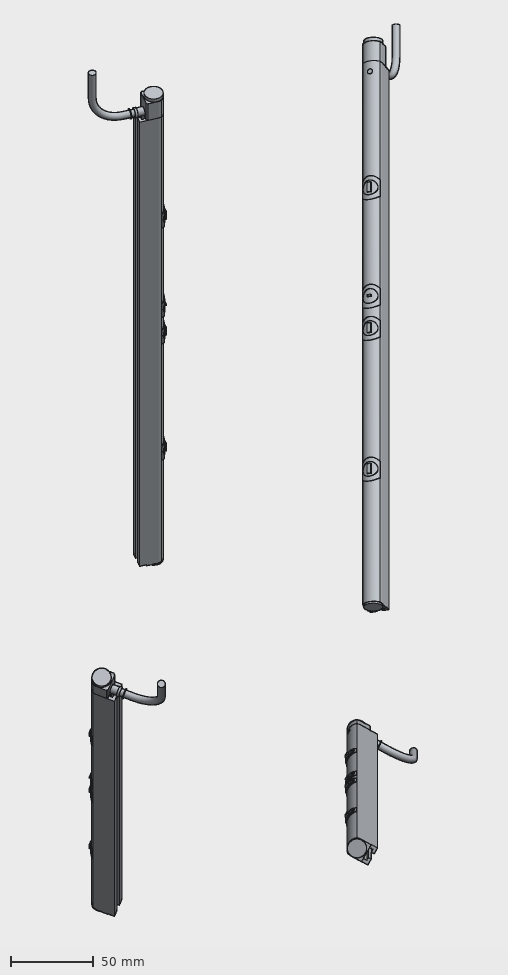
import cadquery as cq
import math

half_width = 6.0
back_y = 23.0
dome_edge_half = 5.5
dome_depth = 3.0
shoulder_depth = 4.5
core_depth = 12.5
rail_depth = 17.0
slot_width = 3.5
lip_thickness = 2.0
cavity_width = 7.5
cap_chamfer = 1.0

end_radius = 5.85
end_center_depth = 6.0

plug_round_top = 1.2
rail_bottom = 2.0
rail_top = 359.5
cap_block_top = 372.8
cap_top = 375.2
total_height = 402.0

ridge_length = 6.5
short_ridge_length = 1.2
buttons = [
    (89.0, ridge_length),
    (182.0, ridge_length),
    (203.5, short_ridge_length),
    (275.5, ridge_length),
]
pad_radius = 7.85
pad_rise = 0.5
boss_radius = 5.0
boss_rise = 1.0
ridge_rise = 1.5
ridge_width = 2.5

mark_z = 352.5
floor_hole_radius = 2.5
floor_hole_depth = 2.0
dome_recess_radius = 1.5
dome_recess_depth = 0.5

cable_radius = 2.5
outlet_z = 362.5
boot_radius = 3.0
flange_radius = 3.2
flange_thickness = 1.5
disc_thickness = 0.5
disc_gap = 2.5
bend_radius = 19.5
cable_end_y = back_y - 45.0

core_front = back_y - core_depth
rail_front = back_y - rail_depth


def section(front_y, crown_y=back_y):
    """Outline of the bar seen along Z, with its dome raised to crown_y."""
    rise = crown_y - back_y
    dome_edge_y = back_y - dome_depth + rise
    shoulder_y = back_y - shoulder_depth
    return (
        cq.Workplane("XY")
        .moveTo(-dome_edge_half, dome_edge_y)
        .threePointArc((0, crown_y), (dome_edge_half, dome_edge_y))
        .lineTo(half_width, shoulder_y)
        .lineTo(half_width, front_y)
        .lineTo(-half_width, front_y)
        .lineTo(-half_width, shoulder_y)
        .close()
    )


def prism(front_y, bottom, top, crown_y=back_y):
    """Length of the bar section between two heights."""
    return section(front_y, crown_y).extrude(top - bottom).translate((0, 0, bottom))


def round_end(bottom, top):
    """Round boss on either end of the core."""
    return (
        cq.Workplane("XY", origin=(0, back_y - end_center_depth, bottom))
        .circle(end_radius)
        .extrude(top - bottom)
    )


def raised_disc(radius, rise, height):
    """Round pad on the back that follows the dome."""
    return (
        cq.Workplane("XZ", origin=(0, back_y + rise, height))
        .circle(radius)
        .extrude(dome_depth + rise)
        .intersect(prism(core_front, height - radius, height + radius, back_y + rise))
    )


def button(height, length):
    """Two stacked round pads crossed by an upright ridge."""
    ridge = cq.Workplane("XY").box(ridge_width, 2 * ridge_rise, length).translate((0, back_y, height))
    pads = raised_disc(pad_radius, pad_rise, height).union(raised_disc(boss_radius, boss_rise, height))
    return pads.union(ridge)


def slot_cutter():
    """T-shaped slot along the front, open at both ends."""
    length = rail_top - rail_bottom
    depth = rail_depth - core_depth
    mouth = cq.Workplane("XY").box(slot_width, depth, length, centered=(True, False, False))
    cavity = (
        cq.Workplane("XY")
        .box(cavity_width, depth - lip_thickness, length, centered=(True, False, False))
        .translate((0, lip_thickness, 0))
    )
    return mouth.union(cavity).translate((0, rail_front, rail_bottom))


def floor_hole():
    """Blind hole in the slot floor."""
    return (
        cq.Workplane("XZ", origin=(0, core_front + floor_hole_depth, mark_z))
        .circle(floor_hole_radius)
        .extrude(floor_hole_depth)
    )


def dome_recess():
    """Shallow recess in the back, behind the blind hole."""
    return (
        cq.Workplane("XZ", origin=(0, back_y, mark_z)).circle(dome_recess_radius).extrude(dome_recess_depth)
    )


def make_rail():
    """Slotted rail with its round bottom end and the buttons on its back."""
    rail = prism(rail_front, rail_bottom, rail_top).cut(slot_cutter()).cut(floor_hole())
    rail = rail.union(prism(core_front, plug_round_top, rail_bottom))
    rail = rail.union(round_end(0, plug_round_top))
    rail = rail.cut(dome_recess())
    for height, length in buttons:
        rail = rail.union(button(height, length))
    return rail


def outlet_cylinder(radius, start_y, length):
    """Cylinder on the outlet axis, running from start_y toward -Y."""
    return cq.Workplane("XZ", origin=(0, start_y, outlet_z)).circle(radius).extrude(length)


def make_cable():
    """Cable that leaves the cap toward -Y, bends a quarter turn and ends upright."""
    bend_start_y = cable_end_y + bend_radius
    mid_offset = bend_radius * math.sin(math.radians(45))
    bend_center_z = outlet_z + bend_radius
    path = (
        cq.Workplane("YZ")
        .moveTo(core_front, outlet_z)
        .lineTo(bend_start_y, outlet_z)
        .threePointArc(
            (bend_start_y - mid_offset, bend_center_z - mid_offset),
            (cable_end_y, bend_center_z),
        )
        .lineTo(cable_end_y, total_height)
    )
    return cq.Workplane("XZ", origin=(0, core_front, outlet_z)).circle(cable_radius).sweep(path)


def make_cap():
    """Top end cap with its cable outlet and the bent cable."""
    cap = prism(core_front, rail_top, cap_block_top).faces("<Y").edges("|Z").chamfer(cap_chamfer)
    cap = cap.union(round_end(cap_block_top, cap_top))
    cap = cap.union(outlet_cylinder(boot_radius, core_front, rail_depth - core_depth))
    cap = cap.union(outlet_cylinder(flange_radius, rail_front, flange_thickness))
    disc_y = rail_front - flange_thickness - disc_gap
    cap = cap.union(outlet_cylinder(flange_radius, disc_y, disc_thickness))
    return cap.union(make_cable())


rail = make_rail()
cap_with_cable = make_cap()
result = cq.Compound.makeCompound([rail.val(), cap_with_cable.val()])